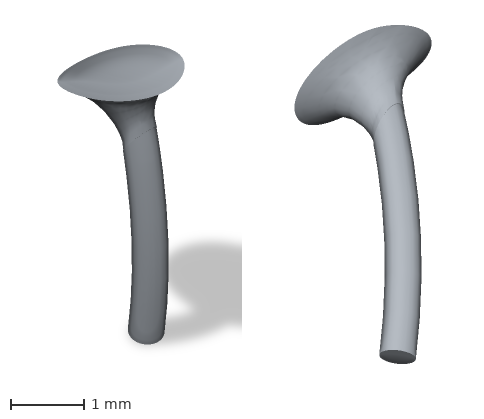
import cadquery as cq
import math

stem_radius = 0.25
bend_radius = 10.385
bend_outer_x = 1.6
bend_outer_z = 1.375
stem_base_z = 0.035
stem_top_z = 4.055

joint_section = ((1.195, 3.22), (1.575, 3.83), 0.25)
neck_section = ((0.975, 3.625), (1.56, 4.23), 0.285)
bell_section = ((0.495, 3.915), (1.715, 4.57), 0.46)
rim_left = (0.0, 3.925)
rim_right = (1.95, 4.83)
rim_section = (rim_left, rim_right, 0.62)
beyond_section = ((-0.435, 3.985), (2.22, 5.025), 0.795)
flare_sections = [joint_section, neck_section, bell_section, rim_section, beyond_section]

dish_radius = 2.655
trim_size = 7.245


def axis_point(z):
    """Point of the bent stem axis at height z."""
    rise = z - bend_outer_z
    x = bend_outer_x - bend_radius + math.sqrt(bend_radius**2 - rise**2)
    return (x, 0, z)


def section_plane(left, right):
    """Plane across the part, centred between two XZ points, local X towards the right one."""
    run = right[0] - left[0]
    rise = right[1] - left[1]
    centre = ((left[0] + right[0]) / 2, 0, (left[1] + right[1]) / 2)
    return cq.Plane(origin=centre, xDir=(run, 0, rise), normal=(-rise, 0, run))


def section_wire(left, right, half_width):
    """Elliptical outline spanning two XZ points."""
    half_length = math.dist(left, right) / 2
    plane = section_plane(left, right)
    outline = cq.Workplane(plane).ellipse(half_length, half_width)
    return outline.wire().val()


def make_stem():
    start = axis_point(stem_base_z)
    middle = axis_point((stem_base_z + stem_top_z) / 2)
    end = axis_point(stem_top_z)
    path = cq.Workplane("XZ").moveTo(start[0], start[2])
    path = path.threePointArc((middle[0], middle[2]), (end[0], end[2]))
    tangent = (bend_outer_z - start[2], 0, start[0] - (bend_outer_x - bend_radius))
    base = cq.Plane(origin=start, xDir=(0, 1, 0), normal=tangent)
    bar = cq.Workplane(base).circle(stem_radius).sweep(path)
    joint_plane = section_plane(joint_section[0], joint_section[1])
    above_joint = cq.Workplane(joint_plane).rect(trim_size, trim_size).extrude(trim_size)
    return bar.cut(above_joint)


def make_flare():
    wires = [section_wire(*section) for section in flare_sections]
    bell = cq.Workplane(cq.Solid.makeLoft(wires))
    rim_plane = section_plane(rim_left, rim_right)
    across = cq.Plane(origin=rim_plane.origin, xDir=(0, 1, 0), normal=rim_plane.xDir)
    trough = cq.Workplane(across).center(0, dish_radius).circle(dish_radius)
    return bell.cut(trough.extrude(trim_size / 2, both=True))


result = make_stem().union(make_flare())